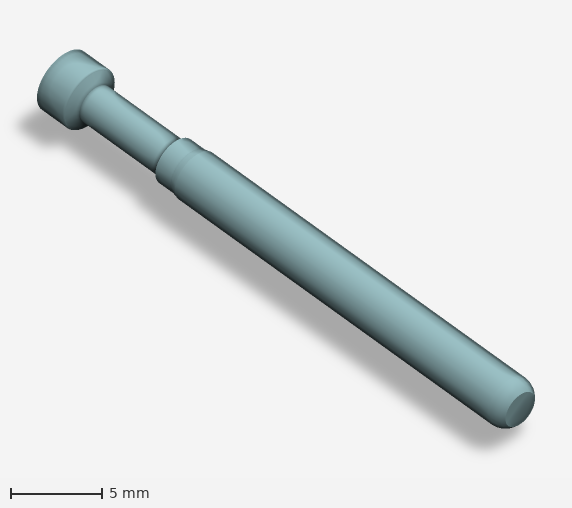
import cadquery as cq

head_diameter = 3.94
neck_diameter = 2.40
collar_diameter = 2.95
body_diameter = 3.16
tip_diameter = 2.23

head_rim_start = 2.0
head_rim_end = 2.13
head_end = 2.555
neck_end = 8.83
collar_end = 10.03
body_start = 10.48
overall_length = 36.07

head_rim_drop = 0.09
tip_round_length = 0.95

head_radius = head_diameter / 2
rim_radius = head_radius - head_rim_drop
neck_radius = neck_diameter / 2
collar_radius = collar_diameter / 2
body_radius = body_diameter / 2
tip_radius = tip_diameter / 2
tip_round_start = overall_length - tip_round_length


def pin_profile():
    """Half section of the pin in the XY plane, with the pin axis along X."""
    return (
        cq.Workplane("XY")
        .moveTo(0, 0)
        .lineTo(0, head_radius)
        .lineTo(head_rim_start, head_radius)
        .tangentArcPoint((head_rim_end, rim_radius), relative=False)
        .lineTo(head_end, neck_radius)
        .lineTo(neck_end, neck_radius)
        .lineTo(neck_end, collar_radius)
        .lineTo(collar_end, collar_radius)
        .lineTo(body_start, body_radius)
        .lineTo(tip_round_start, body_radius)
        .tangentArcPoint((overall_length, tip_radius), relative=False)
        .lineTo(overall_length, 0)
        .close()
    )


result = pin_profile().revolve(360, (0, 0, 0), (1, 0, 0))